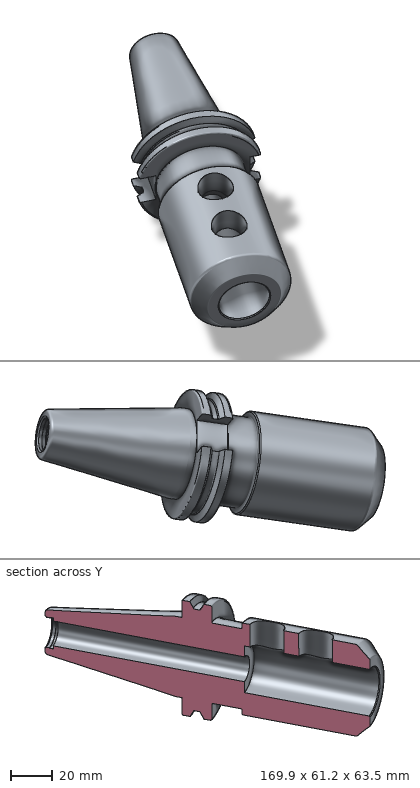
import cadquery as cq
import math


gauge_dia = 44.45
taper_length = 68.25
taper_ratio = 7 / 24
shank_end_dia = gauge_dia - taper_ratio * taper_length
shank_end_round = 1.9

flange_dia = 63.5
flange_start = 3.175
flange_width = 15.875
flange_end = flange_start + flange_width
flange_round = 1.0
groove_center = 11.15
groove_mouth_width = 7.2
groove_floor_width = 3.6
groove_depth = 3.65
groove_half_angle = 30
groove_root_round = 0.5

slot_width = 17.1
slot_floor_front = 22.3
slot_floor_back = 25.0

neck_dia = gauge_dia
neck_fillet = 0.5
body_dia = 50.8
body_start = 34.6
body_rear_chamfer = 0.6
nose_position = 101.6
nose_chamfer = 7.0
nose_shoulder_round = 2.0
nose_rim_round = 1.0

bore_dia = 25.4
bore_mouth_dia = 26.4
bore_bottom = 36.0

knob_mouth_dia = 17.9
knob_socket_dia = 16.3
knob_relief_dia = 16.8
knob_relief_start = 2.5
knob_socket_depth = 4.3
knob_thread_dia = 13.39

screw_hole_dia = 17.32
screw_spacing = 25.4
first_screw_position = 47.7
screw_count = 2
screw_positions = [first_screw_position + i * screw_spacing for i in range(screw_count)]

cutter_overrun = 1.0
selection_margin = 0.01


def turned(points):
    """Revolve a closed (axial position, radius) outline about the X axis."""
    return cq.Workplane("XY").polyline(points).close().revolve(360, (0, 0, 0), (1, 0, 0))


def slice_box(position, reach):
    """Select edges lying inside a thin slice square to the axis, up to a reach from the axis."""
    low_corner = (position - selection_margin, -reach, -reach)
    high_corner = (position + selection_margin, reach, reach)
    return cq.selectors.BoxSelector(low_corner, high_corner, boundingbox=True)


def circle_at(position, dia):
    """Select the circular edge of a given diameter at an axial position."""
    outer = slice_box(position, dia / 2 + selection_margin)
    inner = slice_box(position, dia / 2 - selection_margin)
    return outer - inner


def make_outside():
    holder = turned([
        (-taper_length, 0),
        (-taper_length, shank_end_dia / 2),
        (0, gauge_dia / 2),
        (flange_start, gauge_dia / 2),
        (flange_start, flange_dia / 2),
        (flange_end, flange_dia / 2),
        (flange_end, neck_dia / 2),
        (body_start, neck_dia / 2),
        (body_start, body_dia / 2),
        (nose_position - nose_chamfer, body_dia / 2),
        (nose_position, body_dia / 2 - nose_chamfer),
        (nose_position, 0),
    ])
    holder = holder.edges(circle_at(-taper_length, shank_end_dia)).fillet(shank_end_round)
    for position in (flange_start, flange_end):
        holder = holder.edges(circle_at(position, flange_dia)).fillet(flange_round)
    for position in (flange_end, body_start):
        holder = holder.edges(circle_at(position, neck_dia)).fillet(neck_fillet)
    holder = holder.edges(circle_at(body_start, body_dia)).chamfer(body_rear_chamfer)
    holder = holder.edges(circle_at(nose_position - nose_chamfer, body_dia)).fillet(nose_shoulder_round)
    return holder.edges(circle_at(nose_position, body_dia - 2 * nose_chamfer)).fillet(nose_rim_round)


def make_flange_groove():
    floor_half = groove_floor_width / 2
    mouth_half = groove_mouth_width / 2
    vee_depth = (mouth_half - floor_half) / math.tan(math.radians(groove_half_angle))
    vee_radius = flange_dia / 2 - vee_depth
    floor_radius = flange_dia / 2 - groove_depth
    clearance_radius = flange_dia / 2 + cutter_overrun
    groove = turned([
        (groove_center - floor_half, floor_radius),
        (groove_center - floor_half, vee_radius),
        (groove_center - mouth_half, flange_dia / 2),
        (groove_center - mouth_half, clearance_radius),
        (groove_center + mouth_half, clearance_radius),
        (groove_center + mouth_half, flange_dia / 2),
        (groove_center + floor_half, vee_radius),
        (groove_center + floor_half, floor_radius),
    ])
    for position in (groove_center - floor_half, groove_center + floor_half):
        groove = groove.edges(circle_at(position, 2 * floor_radius)).fillet(groove_root_round)
    return groove


def make_drive_slot(side, floor_distance):
    """Cutter for one drive slot; side is -1 for -Y and +1 for +Y."""
    depth = flange_dia / 2 - floor_distance + cutter_overrun
    middle = side * (floor_distance + depth / 2)
    return (
        cq.Workplane("XY")
        .box(flange_width, depth, slot_width)
        .translate((flange_start + flange_width / 2, middle, 0))
    )


def make_axial_bores():
    mouth_chamfer = (bore_mouth_dia - bore_dia) / 2
    knob_chamfer = (knob_mouth_dia - knob_socket_dia) / 2
    return turned([
        (-taper_length, 0),
        (-taper_length, knob_mouth_dia / 2),
        (knob_chamfer - taper_length, knob_socket_dia / 2),
        (knob_relief_start - taper_length, knob_socket_dia / 2),
        (knob_relief_start - taper_length, knob_relief_dia / 2),
        (knob_socket_depth - taper_length, knob_relief_dia / 2),
        (knob_socket_depth - taper_length, knob_thread_dia / 2),
        (bore_bottom, knob_thread_dia / 2),
        (bore_bottom, bore_dia / 2),
        (nose_position - mouth_chamfer, bore_dia / 2),
        (nose_position, bore_mouth_dia / 2),
        (nose_position, 0),
    ])


def make_screw_hole(position):
    """Radial hole from the axis out through the +Z side of the body."""
    height = body_dia / 2 + cutter_overrun
    return cq.Workplane("XY").center(position, 0).circle(screw_hole_dia / 2).extrude(height)


result = make_outside().cut(make_flange_groove())
result = result.cut(make_drive_slot(-1, slot_floor_front))
result = result.cut(make_drive_slot(1, slot_floor_back))
result = result.cut(make_axial_bores())
for screw_position in screw_positions:
    result = result.cut(make_screw_hole(screw_position))